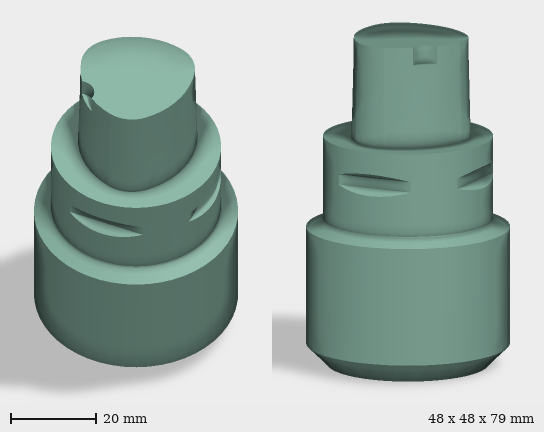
import cadquery as cq
import math

TOTAL_HEIGHT = 79.0
SHANK_HEIGHT = 24.0
FLANGE_HEIGHT = 20.0
FLANGE_TOP = TOTAL_HEIGHT - SHANK_HEIGHT
BODY_TOP = FLANGE_TOP - FLANGE_HEIGHT

BODY_RADIUS = 24.0
FLANGE_RADIUS = 20.0
BOTTOM_CHAMFER = 5.0
SHOULDER_HEIGHT = 1.9
NECK_CHAMFER = 0.25
NECK_CHAMFER_BOTTOM = BODY_TOP - NECK_CHAMFER / 2

SHANK_WIDTH = 28.12
LOBE_CENTER_RADIUS = 6.15
SHANK_TAPER = math.degrees(math.atan(1 / 40))
LOBE_COUNT = 3
LOBE_HALF_ANGLE = 30.0
CENTER_SPACING = math.sqrt(3) * LOBE_CENTER_RADIUS
SIDE_RADIUS = (SHANK_WIDTH + CENTER_SPACING) / 2
LOBE_RADIUS = (SHANK_WIDTH - CENTER_SPACING) / 2

NOTCH_RADIUS = 3.55
NOTCH_CENTER_Y = -14.35
NOTCH_DEPTH = 4.25

SLOT_COUNT = 4
SLOT_FIRST_ANGLE = 45.0
SLOT_FLOOR_RADIUS = 17.65
SLOT_FLOOR_HEIGHT = 2.5
SLOT_FLANK_ANGLE = 30.0
SLOT_CENTER_Z = BODY_TOP + 12.05
SLOT_CUT_RADIUS = FLANGE_RADIUS + 1.0


def polar(radius, angle, origin=(0.0, 0.0)):
    """Point at a radius and an angle in degrees from an origin."""
    turn = math.radians(angle)
    return (origin[0] + radius * math.cos(turn), origin[1] + radius * math.sin(turn))


def turned_body():
    """Chamfered cylinder, shoulder cone and flange, revolved about Z."""
    profile = [
        (0, 0),
        (BODY_RADIUS - BOTTOM_CHAMFER, 0),
        (BODY_RADIUS, BOTTOM_CHAMFER),
        (BODY_RADIUS, BODY_TOP - SHOULDER_HEIGHT),
        (FLANGE_RADIUS + NECK_CHAMFER, NECK_CHAMFER_BOTTOM),
        (FLANGE_RADIUS, NECK_CHAMFER_BOTTOM + NECK_CHAMFER),
        (FLANGE_RADIUS, FLANGE_TOP),
        (0, FLANGE_TOP),
    ]
    return cq.Workplane("XZ").polyline(profile).close().revolve(360, (0, 0), (0, 1))


def shank():
    """Tapered shank with one lobe towards +Y."""
    lobe_step = 360.0 / LOBE_COUNT
    first_lobe_angle = 90.0
    first_center = polar(LOBE_CENTER_RADIUS, first_lobe_angle)
    start = polar(LOBE_RADIUS, first_lobe_angle - LOBE_HALF_ANGLE, first_center)
    outline = cq.Workplane("XY").workplane(offset=FLANGE_TOP).moveTo(*start)
    side_middle_radius = SIDE_RADIUS - LOBE_CENTER_RADIUS
    for index in range(LOBE_COUNT):
        lobe_angle = first_lobe_angle + index * lobe_step
        next_angle = lobe_angle + lobe_step
        center = polar(LOBE_CENTER_RADIUS, lobe_angle)
        next_center = polar(LOBE_CENTER_RADIUS, next_angle)
        lobe_tip = polar(LOBE_CENTER_RADIUS + LOBE_RADIUS, lobe_angle)
        lobe_end = polar(LOBE_RADIUS, lobe_angle + LOBE_HALF_ANGLE, center)
        side_middle = polar(side_middle_radius, lobe_angle + lobe_step / 2)
        side_end = polar(LOBE_RADIUS, next_angle - LOBE_HALF_ANGLE, next_center)
        outline = outline.threePointArc(lobe_tip, lobe_end)
        outline = outline.threePointArc(side_middle, side_end)
    return outline.close().extrude(SHANK_HEIGHT, taper=SHANK_TAPER)


def orientation_notch():
    """Vertical cylinder that cuts the notch in the top edge of the shank."""
    notch_floor = cq.Workplane("XY").workplane(offset=TOTAL_HEIGHT - NOTCH_DEPTH)
    return notch_floor.center(0, NOTCH_CENTER_Y).circle(NOTCH_RADIUS).extrude(NOTCH_DEPTH)


def gripping_slot(angle):
    """Straight slot with a flat floor and flanks that open outwards."""
    floor_half = SLOT_FLOOR_HEIGHT / 2
    flank_rise = (SLOT_CUT_RADIUS - SLOT_FLOOR_RADIUS) * math.tan(math.radians(SLOT_FLANK_ANGLE))
    mouth_half = floor_half + flank_rise
    section = [
        (SLOT_FLOOR_RADIUS, SLOT_CENTER_Z - floor_half),
        (SLOT_CUT_RADIUS, SLOT_CENTER_Z - mouth_half),
        (SLOT_CUT_RADIUS, SLOT_CENTER_Z + mouth_half),
        (SLOT_FLOOR_RADIUS, SLOT_CENTER_Z + floor_half),
    ]
    slot = cq.Workplane("XZ").polyline(section).close().extrude(FLANGE_RADIUS, both=True)
    return slot.rotate((0, 0, 0), (0, 0, 1), angle)


result = turned_body().union(shank()).cut(orientation_notch())
for slot_index in range(SLOT_COUNT):
    slot_angle = SLOT_FIRST_ANGLE + slot_index * 360.0 / SLOT_COUNT
    result = result.cut(gripping_slot(slot_angle))